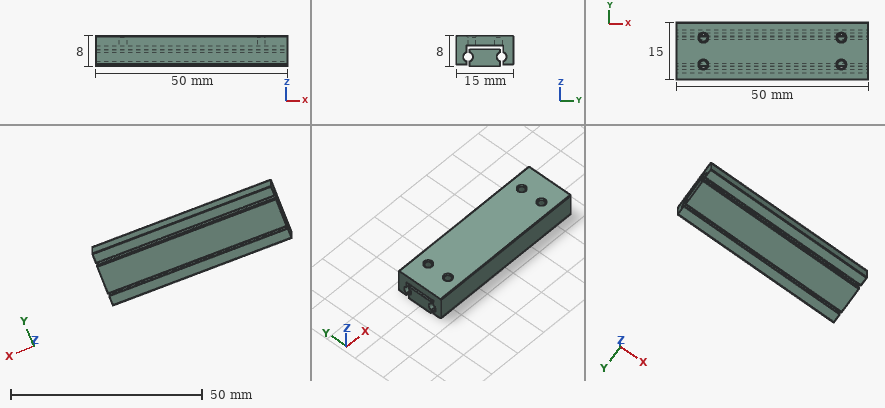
import cadquery as cq

length = 50.0
carriage_width = 15.0
top_height = 8.0
carriage_bottom = 0.5
edge_chamfer = 0.2

channel_width = 9.5
channel_roof = 5.45

rail_width = 8.0
rail_height = 4.5

groove_diameter = 2.5
groove_height = 2.5
groove_offset = (channel_width + rail_width) / 4

hole_diameter = 2.0
hole_chamfer = 0.35
hole_spacing_x = 36.0
hole_spacing_y = 7.0


def bar(width, bottom, top):
    """Full-length bar centred on Y, from bottom to top."""
    return cq.Workplane("XY").workplane(offset=bottom).rect(length, width).extrude(top - bottom)


def groove_bores():
    """Cylinders along X that form the two ball grooves."""
    return (
        cq.Workplane("YZ")
        .workplane(offset=-length / 2)
        .pushPoints([(-groove_offset, groove_height), (groove_offset, groove_height)])
        .circle(groove_diameter / 2)
        .extrude(length)
    )


def mounting_hole():
    """Chamfered hole cutter, from the channel roof up to the top face."""
    bore_radius = hole_diameter / 2
    mouth_radius = bore_radius + hole_chamfer
    return (
        cq.Workplane("XZ")
        .moveTo(0, channel_roof)
        .lineTo(bore_radius, channel_roof)
        .lineTo(bore_radius, top_height - hole_chamfer)
        .lineTo(mouth_radius, top_height)
        .lineTo(0, top_height)
        .close()
        .revolve(360, (0, 0), (0, 1))
    )


def make_carriage():
    """U-shaped carriage with chamfered outer edges, ball grooves and four holes."""
    body = bar(carriage_width, carriage_bottom, top_height).edges("|X").chamfer(edge_chamfer)
    body = body.cut(bar(channel_width, carriage_bottom, channel_roof))
    body = body.cut(groove_bores())
    for x in (-hole_spacing_x / 2, hole_spacing_x / 2):
        for y in (-hole_spacing_y / 2, hole_spacing_y / 2):
            body = body.cut(mounting_hole().translate((x, y, 0)))
    return body


def make_rail():
    """Rail with chamfered long edges and a ball groove on each side."""
    body = bar(rail_width, 0, rail_height).edges("|X").chamfer(edge_chamfer)
    return body.cut(groove_bores())


carriage = make_carriage()
rail = make_rail()

result = cq.Compound.makeCompound([carriage.val(), rail.val()])